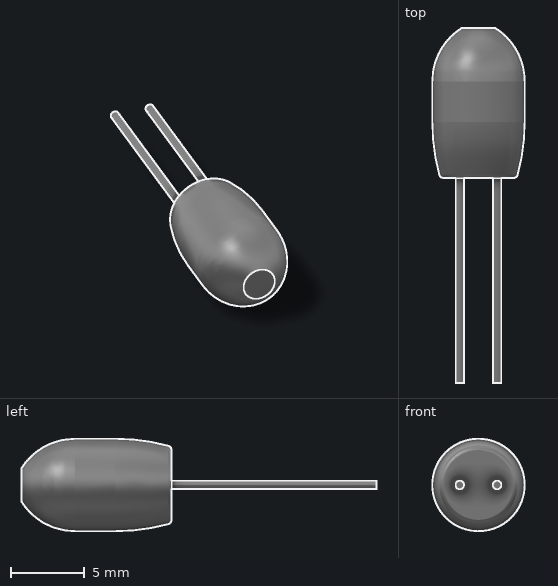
import cadquery as cq
import math

total_length = 24.15
body_diameter = 6.3

body_length = 10.22
nose_length = 3.65
belt_length = 2.75
tip_diameter = 2.27
base_diameter = 5.22
base_rounding = 0.31

lead_diameter = 0.58
lead_spacing = 2.54
lead_length = total_length - body_length

body_radius = body_diameter / 2
tip_radius = tip_diameter / 2
base_radius = base_diameter / 2
nose_start = body_length - nose_length
belt_start = nose_start - belt_length


def bulge_middle(start_y, end_y, end_radius):
    """Middle point of the arc that leaves the belt tangentially and narrows to end_radius at end_y."""
    run = end_y - start_y
    drop = body_radius - end_radius
    arc_radius = (run**2 + drop**2) / (2 * drop)
    half_sweep = math.asin(abs(run) / arc_radius) / 2
    middle_radius = body_radius - arc_radius * (1 - math.cos(half_sweep))
    middle_y = start_y + math.copysign(arc_radius * math.sin(half_sweep), run)
    return middle_radius, middle_y


def make_body():
    """Bullet-shaped body: bulged skirt, cylindrical belt and rounded nose with a flat tip."""
    half_profile = (
        cq.Workplane("XY")
        .lineTo(base_radius, 0)
        .threePointArc(bulge_middle(belt_start, 0, base_radius), (body_radius, belt_start))
        .lineTo(body_radius, nose_start)
        .threePointArc(bulge_middle(nose_start, body_length, tip_radius), (tip_radius, body_length))
        .lineTo(0, body_length)
        .close()
    )
    body = half_profile.revolve(360, (0, 0, 0), (0, 1, 0))
    return body.faces("<Y").edges().fillet(base_rounding)


def make_leads():
    """Pair of leads on the X axis; the XZ workplane normal points toward -Y."""
    return (
        cq.Workplane("XZ")
        .pushPoints([(-lead_spacing / 2, 0), (lead_spacing / 2, 0)])
        .circle(lead_diameter / 2)
        .extrude(lead_length)
    )


result = make_body().union(make_leads())